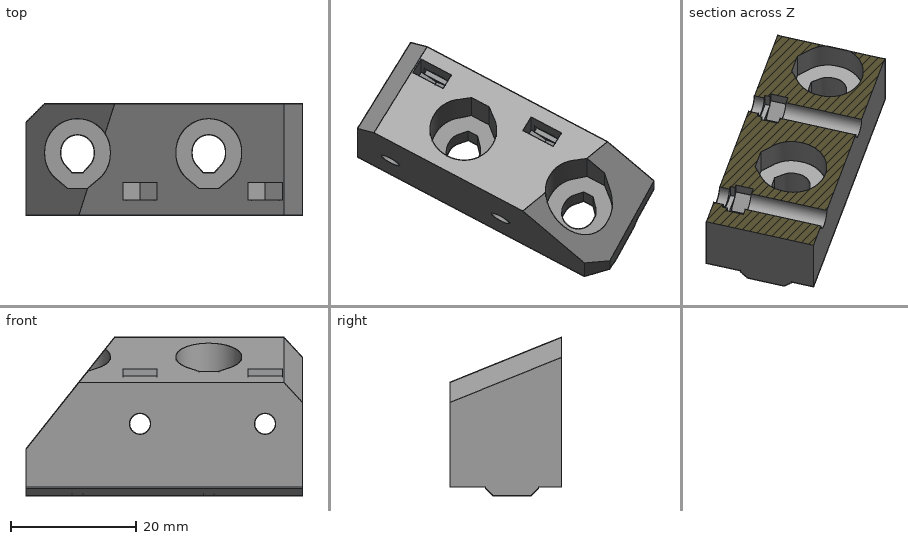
import cadquery as cq
import math

length = 44.25
width = 17.9
back_height = 24.0
top_tilt = 22.0
front_height = back_height - width * math.tan(math.radians(top_tilt))
end_wall_height = 6.1
slope_run = 14.2
edge_chamfer = 3.0

rail_y = width / 2 + 1.0
rail_depth = 1.4
rail_width = 8.5
rail_bevel = 1.2

screw_xs = (8.25, 29.25)
screw_y = rail_y + 0.08
slot_travel = 0.4
shank_diameter = 5.3
shank_nose_reach = 3.2
shank_nose_width = 1.7
head_diameter = 10.5
head_nose_reach = 5.7
head_nose_width = 3.2
head_floor_z = 5.5

cross_xs = (18.25, 38.25)
cross_z = 10.13
cross_diameter = 3.3
nut_flats = 5.5
nut_thickness = 2.8
nut_front_y = 2.45
relief_front_y = 1.65
relief_width = 4.4
relief_height = 4.2


def make_block():
    """Wedge-topped block with a sloped end and two chamfered edges."""
    block = (
        cq.Workplane("YZ")
        .polyline([(0, 0), (width, 0), (width, back_height), (0, front_height)])
        .close()
        .extrude(length)
    )
    block = block.faces(">X").edges(">Z").chamfer(edge_chamfer)
    block = block.edges("|Z and <X and >Y").chamfer(edge_chamfer)
    sloped_end = (
        cq.Workplane("XZ", origin=(0, width, 0))
        .polyline([(0, end_wall_height), (slope_run, back_height), (0, back_height)])
        .close()
        .extrude(width)
    )
    return block.cut(sloped_end)


def make_rail():
    """Full-length rail, bevelled along its lower edges."""
    half_width = rail_width / 2
    bevel_top = rail_bevel - rail_depth
    bottom_half = half_width - rail_bevel
    return (
        cq.Workplane("YZ", origin=(0, rail_y, 0))
        .polyline([
            (-half_width, 0),
            (-half_width, bevel_top),
            (-bottom_half, -rail_depth),
            (bottom_half, -rail_depth),
            (half_width, bevel_top),
            (half_width, 0),
        ])
        .close()
        .extrude(length)
    )


def nosed_slot(x, bottom_z, diameter, nose_reach, nose_width):
    """Vertical slot cutter with a flat-ended, tapered nose toward the front."""
    height = back_height - bottom_z
    base = cq.Workplane("XY", origin=(x, screw_y, bottom_z))
    slot = base.slot2D(diameter + slot_travel, diameter, 90).extrude(height)
    nose_half = nose_width / 2
    root_half = diameter / 2 * math.sin(math.radians(45))
    root_y = -slot_travel / 2 - root_half
    nose = (
        base.polyline([
            (-nose_half, -nose_reach),
            (nose_half, -nose_reach),
            (root_half, root_y),
            (-root_half, root_y),
        ])
        .close()
        .extrude(height)
    )
    return slot.union(nose)


def mounting_hole(x):
    """Through hole for the shank below a wider bore for the screw head."""
    shank = nosed_slot(x, -rail_depth, shank_diameter, shank_nose_reach, shank_nose_width)
    head = nosed_slot(x, head_floor_z, head_diameter, head_nose_reach, head_nose_width)
    return shank.union(head)


def cross_hole(x):
    """Screw hole through the width, a nut pocket pointed at its floor and a recess before it."""
    hole = (
        cq.Workplane("XZ", origin=(x, width, cross_z))
        .circle(cross_diameter / 2)
        .extrude(width)
    )
    half_flats = nut_flats / 2
    point_drop = nut_flats / math.sqrt(3)
    pocket_top = back_height - cross_z
    pocket = (
        cq.Workplane("XZ", origin=(x, nut_front_y + nut_thickness, cross_z))
        .polyline([
            (-half_flats, pocket_top),
            (-half_flats, -point_drop / 2),
            (0, -point_drop),
            (half_flats, -point_drop / 2),
            (half_flats, pocket_top),
        ])
        .close()
        .extrude(nut_thickness)
    )
    relief = (
        cq.Workplane("XZ", origin=(x, nut_front_y, cross_z))
        .rect(relief_width, relief_height)
        .extrude(nut_front_y - relief_front_y)
    )
    return hole.union(pocket).union(relief)


result = make_block().union(make_rail())
for screw_x in screw_xs:
    result = result.cut(mounting_hole(screw_x))
for cross_x in cross_xs:
    result = result.cut(cross_hole(cross_x))